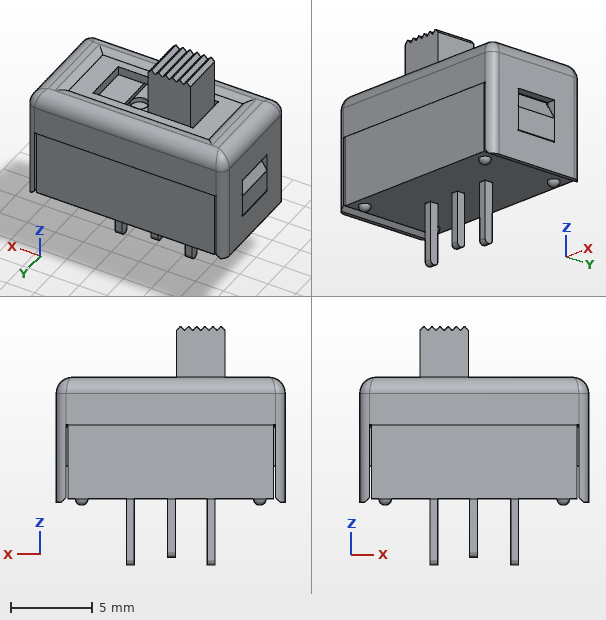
import cadquery as cq
import math

COVER_LENGTH = 14.13
COVER_WIDTH = 7.5
COVER_TOP = 7.5
COVER_BOTTOM = -0.22
WALL = 0.6
CORNER_ROUND = WALL
TOP_ROUND = 1.0
SKIRT_BOTTOM = 4.55
LEAD_IN = 0.3

RECESS_LENGTH = 11.2
RECESS_WIDTH = 5.44
RECESS_DEPTH = 0.19
RECESS_BORDER = 0.6
PANEL_UNDERSIDE = COVER_TOP - RECESS_DEPTH - WALL

SLOT_LENGTH = 7.13
SLOT_WIDTH = 3.1

LUG_WIDTH = 3.0
LUG_TOP = SKIRT_BOTTOM
LUG_RAMP_END = 3.35
LUG_TIP_BOTTOM = 1.81
LUG_ROOT_BOTTOM = 2.03
LUG_CLEARANCE = 0.05

BASE_LENGTH = 12.68
PLATE_THICKNESS = 0.27
BASE_TOP = PANEL_UNDERSIDE - PLATE_THICKNESS
FOOT_RADIUS = 0.4
FOOT_X = 5.5
FOOT_Y = 2.87
DETENT_RADIUS = 0.59
DETENT_DEPTH = 0.34
DETENT_X = 1.13
DETENT_Y = 0.05

PLATE_START_X = DETENT_X + DETENT_RADIUS

SLIDER_SIZE = 3.0
SLIDER_X = -1.85
SLIDER_Y = 0.05
SLIDER_TOP = 10.64
TOOTH_COUNT = 6
TOOTH_PITCH = SLIDER_SIZE / TOOTH_COUNT
TOOTH_HEIGHT = TOOTH_PITCH / 2

PIN_LENGTH_X = 0.5
PIN_WIDTH_Y = 0.6
PIN_Y = -0.05
PIN_TIP_ROUND = 0.27
PIN_DEPTH = 1.47
OUTER_PIN_TIP = -4.1
MIDDLE_PIN_TIP = -3.61
PINS = [(-2.49, OUTER_PIN_TIP), (-0.05, MIDDLE_PIN_TIP), (2.49, OUTER_PIN_TIP)]

INNER_LENGTH = COVER_LENGTH - 2 * WALL
INNER_WIDTH = COVER_WIDTH - 2 * WALL


def block(length, width, bottom, top, x=0, y=0):
    """Upright box centred on (x, y) that runs from bottom to top."""
    return (
        cq.Workplane("XY", origin=(x, y, bottom))
        .box(length, width, top - bottom, centered=(True, True, False))
    )


def recess_prism(plane, opening, run):
    """Trough with convex round sides, level at the rim and steepest at the floor."""
    rim = opening / 2
    floor = rim - RECESS_BORDER
    floor_z = COVER_TOP - RECESS_DEPTH
    radius = (RECESS_BORDER**2 + RECESS_DEPTH**2) / (2 * RECESS_DEPTH)
    half_angle = math.atan(RECESS_DEPTH / RECESS_BORDER)
    mid = rim - radius * math.sin(half_angle)
    mid_z = COVER_TOP - radius * (1 - math.cos(half_angle))
    return (
        cq.Workplane(plane)
        .moveTo(-rim, COVER_TOP)
        .threePointArc((-mid, mid_z), (-floor, floor_z))
        .lineTo(floor, floor_z)
        .threePointArc((mid, mid_z), (rim, COVER_TOP))
        .close()
        .extrude(run / 2, both=True)
    )


def end_profile(points, width):
    """The same XZ outline extruded along Y at both ends, as [+X end, -X end]."""
    right = cq.Workplane("XZ").polyline(points).close().extrude(width / 2, both=True)
    return [right, right.mirror("YZ")]


def make_cover():
    shell = block(COVER_LENGTH, COVER_WIDTH, COVER_BOTTOM, COVER_TOP)
    shell = shell.faces(">Z").edges().fillet(TOP_ROUND)
    shell = shell.edges("|Z").fillet(CORNER_ROUND)
    shell = shell.cut(block(INNER_LENGTH, INNER_WIDTH, COVER_BOTTOM, PANEL_UNDERSIDE))

    shell = shell.cut(block(INNER_LENGTH, COVER_WIDTH, COVER_BOTTOM, SKIRT_BOTTOM))

    inner = INNER_LENGTH / 2
    lead_in = [(inner, COVER_BOTTOM), (inner + LEAD_IN, COVER_BOTTOM), (inner, COVER_BOTTOM + LEAD_IN)]
    for chamfer in end_profile(lead_in, COVER_WIDTH):
        shell = shell.cut(chamfer)

    recess = recess_prism("XZ", RECESS_LENGTH, COVER_WIDTH)
    recess = recess.intersect(recess_prism("YZ", RECESS_WIDTH, COVER_LENGTH))
    shell = shell.cut(recess)
    shell = shell.cut(block(SLOT_LENGTH, SLOT_WIDTH, PANEL_UNDERSIDE, COVER_TOP))

    return shell.cut(block(COVER_LENGTH, LUG_WIDTH, LUG_TIP_BOTTOM - LUG_CLEARANCE, LUG_TOP))


def make_pin(x, tip_z):
    pin = block(PIN_LENGTH_X, PIN_WIDTH_Y, tip_z, PIN_DEPTH, x, PIN_Y)
    return pin.faces("<Z").edges("|X").fillet(PIN_TIP_ROUND)


def make_base():
    base = block(BASE_LENGTH, COVER_WIDTH, 0, SKIRT_BOTTOM)
    base = base.union(block(BASE_LENGTH, INNER_WIDTH, SKIRT_BOTTOM, BASE_TOP))

    root = BASE_LENGTH / 2
    tip = COVER_LENGTH / 2
    lug = [(root, LUG_TOP), (tip, LUG_RAMP_END), (tip, LUG_TIP_BOTTOM), (root, LUG_ROOT_BOTTOM)]
    for end_lug in end_profile(lug, LUG_WIDTH):
        base = base.union(end_lug)

    for x in (-FOOT_X, FOOT_X):
        for y in (-FOOT_Y, FOOT_Y):
            base = base.union(cq.Workplane("XY", origin=(x, y, 0)).sphere(FOOT_RADIUS))

    detent = (
        cq.Workplane("XY", origin=(DETENT_X, DETENT_Y, BASE_TOP))
        .circle(DETENT_RADIUS)
        .extrude(-DETENT_DEPTH)
    )
    base = base.cut(detent)
    for x, tip_z in PINS:
        base = base.cut(make_pin(x, tip_z))
    return base


def make_stop_plate():
    length = BASE_LENGTH / 2 - PLATE_START_X
    return block(length, INNER_WIDTH, BASE_TOP, PANEL_UNDERSIDE, PLATE_START_X + length / 2)


def make_slider():
    left = SLIDER_X - SLIDER_SIZE / 2
    valley_z = SLIDER_TOP - TOOTH_HEIGHT
    outline = [(left + SLIDER_SIZE, BASE_TOP), (left, BASE_TOP), (left, valley_z)]
    for tooth in range(TOOTH_COUNT):
        start = left + tooth * TOOTH_PITCH
        outline.append((start + TOOTH_PITCH / 2, SLIDER_TOP))
        outline.append((start + TOOTH_PITCH, valley_z))
    return (
        cq.Workplane("XZ", origin=(0, SLIDER_Y, 0))
        .polyline(outline)
        .close()
        .extrude(SLIDER_SIZE / 2, both=True)
    )


cover = make_cover()
base = make_base()
stop_plate = make_stop_plate()
slider = make_slider()
pins = [make_pin(x, tip_z) for x, tip_z in PINS]

result = cq.Compound.makeCompound(
    [cover.val(), base.val(), stop_plate.val(), slider.val(), *[pin.val() for pin in pins]]
)